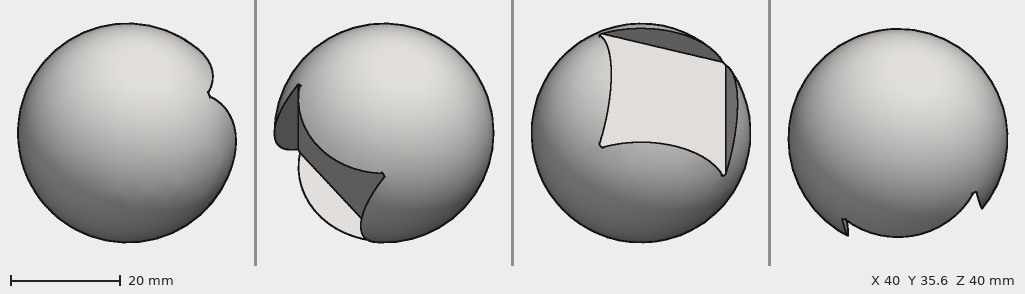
import cadquery as cq

BALL_RADIUS = 20.0
POCKET_WIDTH = 25.0
POCKET_FLOOR_Y = 10.0


def make_ball():
    """Full sphere whose pole axis lies along Y."""
    half_disc = (
        cq.Workplane("XY")
        .moveTo(0, -BALL_RADIUS)
        .threePointArc((BALL_RADIUS, 0), (0, BALL_RADIUS))
        .close()
    )
    return half_disc.revolve(360, (0, 0), (0, 1))


def make_pocket():
    """Square prism from the flat pocket floor out past the +Y side of the ball."""
    pocket_depth = BALL_RADIUS - POCKET_FLOOR_Y
    return cq.Workplane("XY").box(
        POCKET_WIDTH, pocket_depth, POCKET_WIDTH, centered=(True, False, True)
    ).translate((0, POCKET_FLOOR_Y, 0))


result = make_ball().cut(make_pocket())